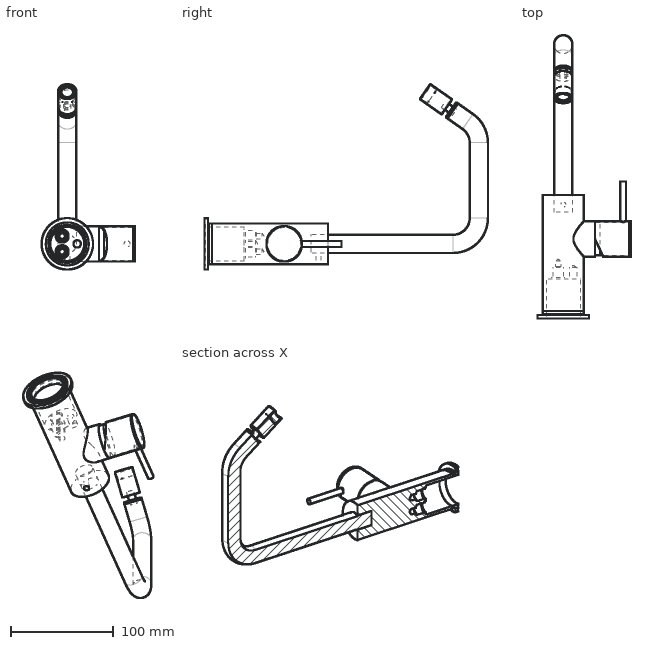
import cadquery as cq
import math


overall_length = 275.5
overall_width = 91.0

flange_radius = 25.0
flange_thickness = 3.5
shoulder_top = 4.5
spigot_top = 7.5
foot_bore_radius = 16.5
seal_groove_outer_radius = 21.0
seal_groove_inner_radius = 18.5
seal_groove_depth = 0.8

column_diameter = 40.0
column_radius = column_diameter / 2
spigot_socket_wall = 0.7
spigot_radius = column_radius - spigot_socket_wall
column_top = 120.0
foot_bore_top = 38.5
branch_y = 77.5
branch_radius = 17.4
branch_end = 30.8
neck_radius = 16.0
neck_end = 35.8

inlet_x = -5.0
inlet_spacing = 15.1
inlet_thread_radius = 5.2
inlet_thread_depth = 11.0
inlet_mouth_radius = 6.3
inlet_mouth_depth = 1.5
inlet_seat_radius = 4.5
inlet_drill_radius = 2.8
inlet_drill_depth = 5.5
fixing_x = 9.6
fixing_radius = 3.5
fixing_depth = 11.0
drill_point_angle = 118.0

grub_hole_radius = 2.5
grub_hole_y = 110.7

tube_diameter = 18.0
tube_radius = tube_diameter / 2
bend_radius = 25.0
socket_depth = 16.5
riser_y = overall_length - tube_radius
riser_length = 73.3
nose_turn = 55.0
nose_length = 19.8

stem_radius = 3.5
stem_gap = 5.0
stem_insert = 4.0
nose_recess_wall = 0.7
nose_recess_radius = tube_radius - nose_recess_wall
nose_recess_depth = 2.0
head_length = 26.0
aerator_radius = 7.7
aerator_length = 8.3
aerator_recess_radius = 5.8
aerator_recess_depth = 1.5
aerator_chamfer = 1.0

cap_wall = 0.7
cap_bore_radius = branch_radius - cap_wall
handle_end = overall_width - flange_radius
handle_end_wall = 1.8
handle_relief = 8.0
lever_x = 58.0
lever_diameter = 5.8
lever_radius = lever_diameter / 2
lever_end_y = 133.3


def along_y(x, y, z, radius, length):
    """Cylinder starting at a point and running along +Y."""
    return cq.Workplane(cq.Solid.makeCylinder(radius, length, cq.Vector(x, y, z), cq.Vector(0, 1, 0)))


def along_x(x, radius, length):
    """Cylinder on the branch axis, running along +X."""
    return cq.Workplane(
        cq.Solid.makeCylinder(radius, length, cq.Vector(x, branch_y, 0), cq.Vector(1, 0, 0))
    )


def cone_along_y(x, y, z, start_radius, end_radius, length):
    """Cone starting at a point and running along +Y."""
    return cq.Workplane(
        cq.Solid.makeCone(start_radius, end_radius, length, cq.Vector(x, y, z), cq.Vector(0, 1, 0))
    )


def drill_point_length(radius):
    """Length of the cone that a drill point of this radius leaves."""
    return radius / math.tan(math.radians(drill_point_angle / 2))


def make_base_ring():
    """Flange with a shoulder and a spigot on top and a seal groove in its underside."""
    ring = along_y(0, 0, 0, flange_radius, flange_thickness)
    ring = ring.union(along_y(0, 0, 0, column_radius, shoulder_top))
    ring = ring.union(along_y(0, 0, 0, spigot_radius, spigot_top))
    groove = along_y(0, 0, 0, seal_groove_outer_radius, seal_groove_depth)
    groove = groove.cut(along_y(0, 0, 0, seal_groove_inner_radius, seal_groove_depth))
    return ring.cut(groove).cut(along_y(0, 0, 0, foot_bore_radius, spigot_top))


def make_inlet_hole(z):
    """Counterbored thread hole, a conical seat below it and a pointed drill hole."""
    y = foot_bore_top
    seat_y = y + inlet_thread_depth
    seat_depth = drill_point_length(inlet_seat_radius - inlet_drill_radius)
    drill_y = seat_y + seat_depth
    point_y = drill_y + inlet_drill_depth
    point_length = drill_point_length(inlet_drill_radius)
    hole = along_y(inlet_x, y, z, inlet_thread_radius, inlet_thread_depth)
    hole = hole.union(along_y(inlet_x, y, z, inlet_mouth_radius, inlet_mouth_depth))
    hole = hole.union(cone_along_y(inlet_x, seat_y, z, inlet_seat_radius, inlet_drill_radius, seat_depth))
    hole = hole.union(along_y(inlet_x, drill_y, z, inlet_drill_radius, inlet_drill_depth))
    return hole.union(cone_along_y(inlet_x, point_y, z, inlet_drill_radius, 0, point_length))


def make_fixing_hole():
    """Blind hole with a drill point for the mounting stud."""
    hole = along_y(fixing_x, foot_bore_top, 0, fixing_radius, fixing_depth)
    point_y = foot_bore_top + fixing_depth
    point = cone_along_y(fixing_x, point_y, 0, fixing_radius, 0, drill_point_length(fixing_radius))
    return hole.union(point)


def make_housing():
    """Column and branch with the foot bore, inlet holes, spout socket and grub screw hole."""
    body = along_y(0, shoulder_top, 0, column_radius, column_top - shoulder_top)
    body = body.union(along_x(0, branch_radius, branch_end))
    body = body.union(along_x(branch_end, neck_radius, neck_end - branch_end))
    body = body.cut(along_y(0, shoulder_top, 0, spigot_radius, spigot_top - shoulder_top))
    body = body.cut(along_y(0, shoulder_top, 0, foot_bore_radius, foot_bore_top - shoulder_top))
    for side in (-1, 1):
        body = body.cut(make_inlet_hole(side * inlet_spacing / 2))
    body = body.cut(make_fixing_hole())
    body = body.cut(along_y(0, column_top - socket_depth, 0, tube_radius, socket_depth))
    grub_hole = cq.Solid.makeCylinder(
        grub_hole_radius, column_radius, cq.Vector(0, grub_hole_y, 0), cq.Vector(0, 0, -1)
    )
    return body.cut(cq.Workplane(grub_hole))


turn = math.radians(nose_turn)
nose_direction = cq.Vector(0, -math.sin(turn), math.cos(turn))
nose_start = cq.Vector(
    0,
    riser_y - bend_radius * (1 - math.cos(turn)),
    bend_radius + riser_length + bend_radius * math.sin(turn),
)
nose_end = nose_start + nose_direction * nose_length
head_start = nose_end + nose_direction * stem_gap
head_end = head_start + nose_direction * head_length


def along_nose(start, radius, length):
    """Cylinder on the nose axis, pointing out of the spout."""
    return cq.Workplane(cq.Solid.makeCylinder(radius, length, start, nose_direction))


def make_spout():
    """Bent tube with a shallow recess and a stem socket in its nose."""
    foot_y = column_top - socket_depth
    riser_top = bend_radius + riser_length
    half_turn = turn / 2
    bend_mid = bend_radius * math.sin(math.pi / 4)
    path = (
        cq.Workplane("YZ")
        .moveTo(foot_y, 0)
        .lineTo(riser_y - bend_radius, 0)
        .threePointArc(
            (riser_y - bend_radius + bend_mid, bend_radius - bend_mid), (riser_y, bend_radius)
        )
        .lineTo(riser_y, riser_top)
        .threePointArc(
            (
                riser_y - bend_radius * (1 - math.cos(half_turn)),
                riser_top + bend_radius * math.sin(half_turn),
            ),
            (nose_start.y, nose_start.z),
        )
        .lineTo(nose_end.y, nose_end.z)
    )
    tube = cq.Workplane("XZ", origin=(0, foot_y, 0)).circle(tube_radius).sweep(path)
    tube = tube.cut(
        along_nose(nose_end - nose_direction * nose_recess_depth, nose_recess_radius, nose_recess_depth)
    )
    return tube.cut(along_nose(nose_end - nose_direction * stem_insert, stem_radius, stem_insert))


def make_stem():
    """Pin that joins the spout nose and the spray head across a gap."""
    return along_nose(
        nose_end - nose_direction * stem_insert, stem_radius, stem_gap + 2 * stem_insert
    )


def make_head():
    """Spray head with a stem socket and a seat for the aerator."""
    head = along_nose(head_start, tube_radius, head_length)
    head = head.cut(along_nose(head_start, stem_radius, stem_insert))
    return head.cut(along_nose(head_end - nose_direction * aerator_length, aerator_radius, aerator_length))


def make_aerator():
    """Disc with a shallow chamfered recess in its outlet face."""
    disc = along_nose(head_end - nose_direction * aerator_length, aerator_radius, aerator_length)
    floor = head_end - nose_direction * aerator_recess_depth
    disc = disc.cut(along_nose(floor, aerator_recess_radius, aerator_recess_depth))
    mouth = cq.Solid.makeCone(
        aerator_recess_radius + aerator_chamfer,
        aerator_recess_radius,
        aerator_chamfer,
        head_end,
        nose_direction * -1,
    )
    return disc.cut(cq.Workplane(mouth))


def make_cartridge():
    """Core that carries on from the branch neck to the end wall of the cap."""
    return along_x(neck_end, neck_radius, handle_end - handle_end_wall - neck_end)


def make_lever():
    """Rod through the cap wall, seated on the cartridge."""
    lever = along_y(lever_x, branch_y, 0, lever_radius, lever_end_y - branch_y)
    return lever.cut(make_cartridge())


def make_handle():
    """Hollow cap with a slanted relief on the -Y half of its rim that lets it tilt."""
    cap = along_x(branch_end, branch_radius, handle_end - branch_end)
    cap = cap.cut(along_x(branch_end, cap_bore_radius, handle_end - handle_end_wall - branch_end))
    relief = (
        cq.Workplane("XY")
        .moveTo(branch_end, branch_y)
        .lineTo(branch_end + handle_relief, branch_y - branch_radius)
        .lineTo(branch_end, branch_y - branch_radius)
        .close()
        .extrude(branch_radius, both=True)
    )
    return cap.cut(relief).cut(make_lever())


base_ring = make_base_ring()
housing = make_housing()
spout = make_spout()
stem = make_stem()
head = make_head()
aerator = make_aerator()
cartridge = make_cartridge()
handle = make_handle()
lever = make_lever()

bodies = [base_ring, housing, spout, stem, head, aerator, cartridge, handle, lever]
result = cq.Compound.makeCompound([body.solids().val() for body in bodies])